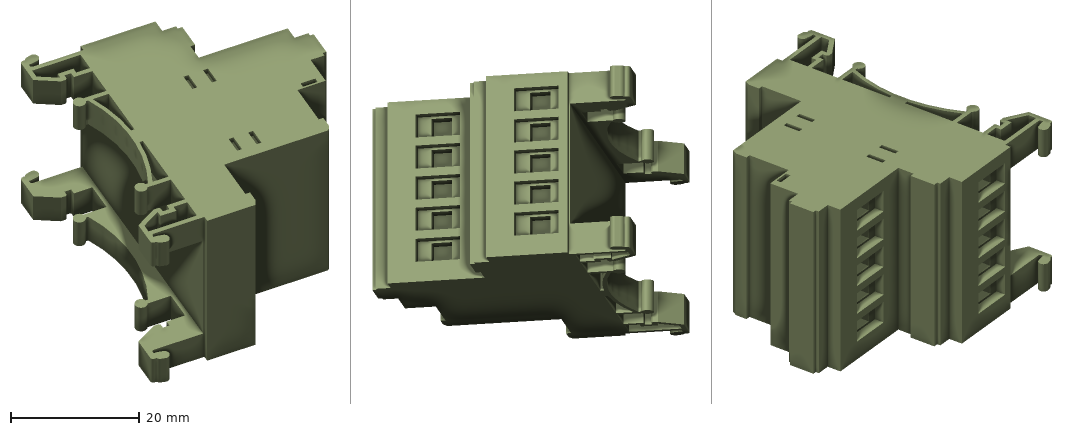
import cadquery as cq
import math


width_z = 29.6
length_x = 48.13
total_height = 44.0
half_body = 22.5
half_seat = 21.5
top_z = width_z / 2

ledge_y = 10.1
seat_y = 9.9
tier_count = 2
tier_run = 10.5
tier_rise = 17.86
left_deck_y = 23.1
right_deck_y = 18.2
crown_right_x = 1.5

step_inset = 2.42
step_height = 2.4
rib_inset = 3.0
rib_width = 4.55
rib_height = 0.8
crown_step_end = 8.15

lip_width = 2.95
lip_height = 0.8
lip_flat = 2.0
lip_drop = 0.5

terminal_count = 5
terminal_pitch = 5.08
terminal_center_z = 0.5
opening_y = 15.1
opening_size = (7.05, 3.75)
opening_depth = 1.65
contact_y = 14.8
contact_size = (3.25, 3.0)
contact_depth = 2.0

slot_depth = 1.0
slot_width = 0.85
slot_rows_y = (21.85, 25.25)
left_slot = (-7.5, 3.15)
right_slot = (8.47, 3.0)
upright_slot_center = (0.77, 38.45)
upright_slot_length = 2.55

bracket_thickness = 5.0
pocket_floor = 0.8
wall = 0.8
base_y = 9.2
foot_inner_x = -16.5
foot_toe_x = -18.7
catch_top_y = 6.0
catch_bottom_y = 4.85
catch_depth = 1.0
catch_bevel = 0.25
nose_y = 3.75
foot_floor = 0.95
sole_end_x = -23.4
sole_round = 0.5
hook_base_y = 0.85
heel_round = 0.4
hook_tip_x = -length_x / 2
hook_radius = 0.85
hook_center_y = 2.3
hook_lean = 0.18
hook_knee_y = 1.5
hook_knee_radius = 0.85
spring_outer_x = -11.45
spring_bulb = (-10.98, 4.25)
bulb_radius = 1.02
arch_crown_y = 7.95
arch_end_y = 5.63
arch_thickness = 0.7
arch_pocket_end_x = -1.5
overlap_y = ledge_y + 1.0


def lip(deck_end_x, deck_y):
    """Points of a right-hand deck's lip, ending on the tier's right face."""
    lip_x = deck_end_x - lip_width
    top = deck_y + lip_height
    return [
        (lip_x, deck_y),
        (lip_x, top),
        (lip_x + lip_flat, top),
        (deck_end_x, top - lip_drop),
    ]


def rib(tier_left_x, shelf_y, rib_top_y):
    """Points of a left-hand step and of the rib standing on it."""
    step_x = tier_left_x + step_inset
    rib_x = tier_left_x + rib_inset
    return [
        (tier_left_x, shelf_y - step_height),
        (step_x, shelf_y - step_height),
        (step_x, shelf_y),
        (rib_x, shelf_y),
        (rib_x, rib_top_y),
        (rib_x + rib_width, rib_top_y),
        (rib_x + rib_width, shelf_y),
    ]


def make_body():
    """Stepped block with the shallow seat that runs between the brackets."""
    upper_left = tier_run - half_body
    upper_right = half_body - tier_run
    lower_shelf_y = left_deck_y + step_height
    upper_shelf_y = lower_shelf_y + tier_rise
    crown_y = left_deck_y + tier_rise
    crown_step_x = upper_left + crown_step_end
    upper_deck_y = right_deck_y + tier_rise

    outline = [(-half_body, ledge_y)]
    outline += rib(-half_body, lower_shelf_y, lower_shelf_y + rib_height)
    outline += [(upper_left, lower_shelf_y)]
    outline += rib(upper_left, upper_shelf_y, total_height)
    outline += [
        (crown_step_x, upper_shelf_y),
        (crown_step_x, crown_y),
        (crown_right_x, crown_y),
        (crown_right_x, upper_deck_y),
    ]
    outline += lip(upper_right, upper_deck_y)
    outline += [(upper_right, right_deck_y)]
    outline += lip(half_body, right_deck_y)
    outline += [(half_body, ledge_y)]
    block = cq.Workplane("XY").polyline(outline).close().extrude(top_z, both=True)

    seat = cq.Workplane("XY").box(2 * half_seat, overlap_y - seat_y, width_z)
    return block.union(seat.translate((0, (seat_y + overlap_y) / 2, 0)))


def recess(face_x, center_y, center_z, size, depth):
    """Rectangular block reaching from face_x into the body along +X."""
    block = cq.Workplane("XY").box(depth, size[0], size[1])
    return block.translate((face_x + depth / 2, center_y, center_z))


def cut_terminals(body):
    """Cut one row of terminal openings, each with a contact recess, into both tiers."""
    for tier in range(tier_count):
        face_x = -half_body + tier * tier_run
        rise = tier * tier_rise
        for index in range(terminal_count):
            z = terminal_center_z + (index - (terminal_count - 1) / 2) * terminal_pitch
            body = body.cut(recess(face_x, opening_y + rise, z, opening_size, opening_depth))
            contact_x = face_x + opening_depth
            body = body.cut(recess(contact_x, contact_y + rise, z, contact_size, contact_depth))
    return body


def cut_slots(body):
    """Cut the four lying slots and the upright one into the top face."""
    top = cq.Workplane("XY").workplane(offset=top_z)
    for center_x, length in (left_slot, right_slot):
        for y in slot_rows_y:
            body = body.cut(top.center(center_x, y).rect(length, slot_width).extrude(-slot_depth))
    upright = top.center(*upright_slot_center).rect(slot_width, upright_slot_length)
    return body.cut(upright.extrude(-slot_depth))


def make_foot(plane):
    """Left foot with its catch for the rail edge and the release hook."""
    hook_right_x = hook_tip_x + 2 * hook_radius
    catch_x = foot_inner_x - catch_depth
    return (
        plane.moveTo(-half_seat, overlap_y)
        .lineTo(-half_seat, foot_floor + heel_round)
        .radiusArc((-half_seat - heel_round, foot_floor), heel_round)
        .lineTo(hook_right_x + hook_lean, foot_floor)
        .lineTo(hook_right_x + hook_lean, hook_knee_y)
        .lineTo(hook_right_x, hook_center_y)
        .threePointArc(
            (hook_tip_x + hook_radius, hook_center_y + hook_radius),
            (hook_tip_x, hook_center_y),
        )
        .lineTo(hook_tip_x + hook_lean, hook_knee_y)
        .radiusArc((sole_end_x, hook_base_y), -hook_knee_radius)
        .lineTo(sole_end_x, sole_round)
        .radiusArc((sole_end_x + sole_round, 0), -sole_round)
        .lineTo(foot_toe_x, 0)
        .lineTo(foot_inner_x, nose_y)
        .lineTo(foot_inner_x, catch_bottom_y - catch_bevel)
        .lineTo(foot_inner_x - catch_bevel, catch_bottom_y)
        .lineTo(catch_x, catch_bottom_y)
        .lineTo(catch_x, catch_top_y)
        .lineTo(foot_inner_x, catch_top_y)
        .lineTo(foot_inner_x, overlap_y)
        .close()
        .extrude(bracket_thickness)
    )


def make_foot_pocket(plane):
    """Hollow of the left foot, one wall thickness inside its outline."""
    outer_x = -half_seat + wall
    inner_x = foot_inner_x - wall
    catch_x = inner_x - catch_depth
    nose_top_y = catch_bottom_y - wall
    slope = (foot_inner_x - foot_toe_x) / nose_y
    toe_x = inner_x - slope * (nose_top_y - wall)
    outline = [
        (outer_x, base_y),
        (outer_x, wall),
        (toe_x, wall),
        (inner_x, nose_top_y),
        (catch_x, nose_top_y),
        (catch_x, catch_top_y + wall),
        (inner_x, catch_top_y + wall),
        (inner_x, base_y),
    ]
    return plane.polyline(outline).close().extrude(bracket_thickness - pocket_floor)


def arch_radius():
    """Radius of the arch, from its half span and its sag."""
    half_span = -(spring_outer_x + wall)
    sag = arch_crown_y - arch_end_y
    return (half_span ** 2 + sag ** 2) / (2 * sag)


def arc_y(x, radius):
    """Height at x of an arc that is concentric with the arch."""
    center_y = arch_crown_y - arch_radius()
    return center_y + math.sqrt(radius ** 2 - x ** 2)


def make_spring(plane):
    """Left half of the arched spring, with its leg and rounded end."""
    inner_x = spring_outer_x + wall
    arch = (
        plane.moveTo(spring_outer_x, overlap_y)
        .lineTo(spring_outer_x, spring_bulb[1])
        .lineTo(inner_x, spring_bulb[1])
        .lineTo(inner_x, arch_end_y)
        .radiusArc((0, arch_crown_y), arch_radius())
        .lineTo(0, overlap_y)
        .close()
        .extrude(bracket_thickness)
    )
    bulb = plane.center(*spring_bulb).circle(bulb_radius).extrude(bracket_thickness)
    return arch.union(bulb)


def make_spring_pocket(plane):
    """Hollow between the arch and the bracket base, left half."""
    inner_x = spring_outer_x + wall
    radius = arch_radius() + arch_thickness
    return (
        plane.moveTo(inner_x, base_y)
        .lineTo(inner_x, arc_y(inner_x, radius))
        .radiusArc((arch_pocket_end_x, arc_y(arch_pocket_end_x, radius)), radius)
        .lineTo(arch_pocket_end_x, base_y)
        .close()
        .extrude(bracket_thickness - pocket_floor)
    )


def make_bracket():
    """Upper rail bracket; its pockets open towards +Z."""
    lower = cq.Workplane("XY").workplane(offset=top_z - bracket_thickness)
    floor = lower.workplane(offset=pocket_floor)
    base = cq.Workplane("XY").box(2 * half_seat, overlap_y - base_y, bracket_thickness)
    base_z = top_z - bracket_thickness / 2
    base = base.translate((0, (base_y + overlap_y) / 2, base_z))

    solid = make_foot(lower).union(make_spring(lower))
    pockets = make_foot_pocket(floor).union(make_spring_pocket(floor))
    half = solid.cut(pockets)
    return base.union(half).union(half.mirror("YZ"))


bracket = make_bracket()
body = cut_slots(cut_terminals(make_body()))
result = body.union(bracket).union(bracket.mirror("XY"))